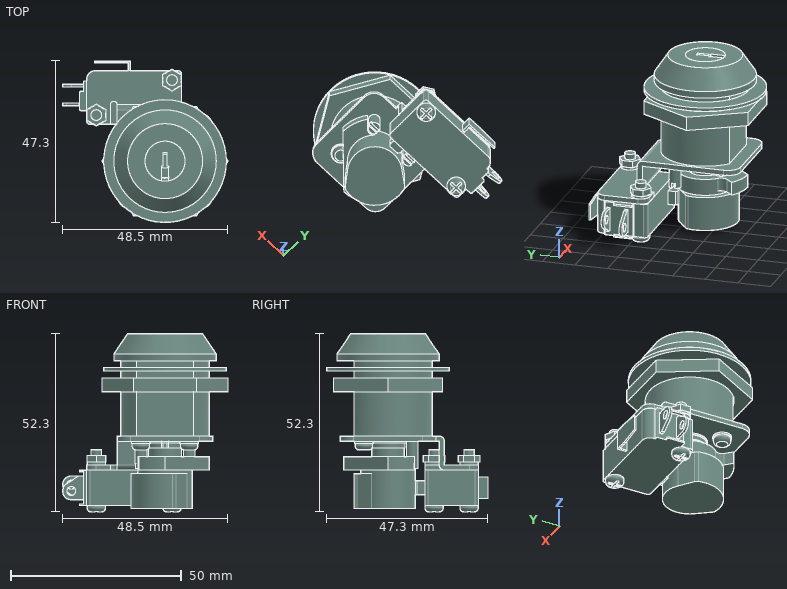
import cadquery as cq
import math


barrel_radius = 13.0
barrel_flat = 10.0
head_bottom = 22.0
rim_height = 2.05
head_top = 30.0
rim_radius = 15.0
face_radius = 11.0
boss_radius = 5.3
boss_bottom = -2.05
housing_floor = 1.55

washer_radius = 18.0
washer_bottom = 19.05
washer_height = 1.05
nut_bottom = 12.9
nut_height = 4.15
nut_across_flats = 32.0

plug_radius = 5.85
tail_radius = 5.0
tail_bottom = -3.55
key_narrow = 1.15
key_narrow_top = 2.5
key_wide = 2.05
key_wide_top = -1.45

lever_angle = 45
lobe_angle = lever_angle + 180
hub_radius = 4.8
hub_hole_radius = 2.05
base_radius = 8.0
lobe_radius = 10.0
lobe_fillet = 1.65
lever_radius = 13.0
lever_inset = 2.0
lever_top = -6.0
lever_bottom = -10.0
drum_top = -11.0
drum_bottom = -21.3

sheet = 1.55
plate_half = 14.0
plate_corner = 4.0
leg_outer = 16.55
relief_width = 2.0
screw_offset = 7.05
screw_washer_radius = 2.75
screw_washer_height = 0.6
plate_head_radius = 2.55
plate_screw_bottom = -4.1
stud_radius = 1.7
stud_bottom = -9.5
stud_slot_width = 1.1
stud_slot_depth = 1.5

case_left = -22.95
case_right = 4.85
case_front = 10.75
case_back = 26.5
case_top = -10.0
case_height = 10.35
case_corner = 1.0
case_big_corner = 2.5
case_bottom = case_top - case_height
case_middle = case_top - case_height / 2

head_radius = 2.7
head_rim = 0.45
case_head_height = 1.95
head_flat_radius = 1.65
recess_width = 0.75
recess_depth = 0.15
bolt_places = [(-20.15, 13.5), (2.05, 23.75)]
bolt_radius = 1.55
bolt_top = -4.0
bolt_nut_top = -5.65
bolt_nut_bottom = -7.65
bolt_nut_flats = 5.55

block_left = -23.95
block_front = 14.75
block_back = 23.55
lip_left = -25.05
lip_back = 20.5
lip_height = 0.45
block_round = 0.45

blade_thickness = 0.9
blade_half_height = 3.5
blade_end_radius = 2.55
blade_hole_radius = 1.25
blade_hole_x = -27.45
blade_slope_x = -25.25
front_blade_y = 16.65
back_blade_y = 22.1

back_tab_right = -10.15
back_tab_left = -20.7
back_tab_taper = -14.55
back_tab_outer = 29.3
back_tab_leg = 0.7
back_tab_thickness = 0.5
back_tab_half = 3.2
back_tab_end_half = 2.4

plunger_width = 4.0
plunger_height = 4.2
plunger_chamfer = 0.5


def disc(radius, bottom, top, place=(0, 0)):
    """Upright cylinder between two heights."""
    return cq.Workplane("XY", origin=(*place, bottom)).circle(radius).extrude(top - bottom)


def block(x0, x1, y0, y1, bottom, top):
    """Box given by its limits on each axis."""
    corner = (x0, y0, bottom)
    return cq.Workplane("XY", origin=corner).box(x1 - x0, y1 - y0, top - bottom, centered=False)


def at_angle(radius, degrees):
    """XY point on a circle about the lock axis."""
    angle = math.radians(degrees)
    return (radius * math.cos(angle), radius * math.sin(angle))


def domed_head(radius, rim, top, bottom, place):
    """Pan head hanging below `top`: a short straight rim, then a dome with a flat end."""
    drop = top - bottom
    dome = drop - rim
    shoulder = math.sqrt(0.5)
    middle = (
        head_flat_radius + (radius - head_flat_radius) * shoulder,
        -rim - dome * shoulder,
    )
    return (
        cq.Workplane("XZ", origin=(*place, top))
        .lineTo(radius, 0)
        .lineTo(radius, -rim)
        .threePointArc(middle, (head_flat_radius, -drop))
        .lineTo(0, -drop)
        .close()
        .revolve(360, (0, 0), (0, 1))
    )


def make_housing():
    barrel = disc(barrel_radius, 0, head_bottom)
    reach = 2 * barrel_radius
    barrel = barrel.cut(block(-reach, reach, -reach, -barrel_flat, 0, head_bottom))
    head = (
        cq.Workplane("XZ")
        .moveTo(0, head_bottom)
        .lineTo(rim_radius, head_bottom)
        .lineTo(rim_radius, head_bottom + rim_height)
        .lineTo(face_radius, head_top)
        .lineTo(0, head_top)
        .close()
        .revolve(360, (0, 0), (0, 1))
    )
    body = barrel.union(head).union(disc(boss_radius, boss_bottom, 0))
    bore = disc(plug_radius, housing_floor, head_top)
    tail_hole = disc(tail_radius, boss_bottom, housing_floor)
    return body.cut(bore).cut(tail_hole)


def make_barrel_envelope():
    """Round bore that the barrel passes through."""
    return disc(barrel_radius, 0, head_bottom)


def make_washer():
    ring = cq.Workplane("XY", origin=(0, 0, washer_bottom)).circle(washer_radius)
    return ring.extrude(washer_height).cut(make_barrel_envelope())


def make_panel_nut():
    corners = nut_across_flats / math.cos(math.radians(30))
    nut = cq.Workplane("XY", origin=(0, 0, nut_bottom)).polygon(6, corners).extrude(nut_height)
    return nut.cut(make_barrel_envelope())


def make_plug():
    plug = disc(plug_radius, housing_floor, head_top)
    plug = plug.union(disc(tail_radius, tail_bottom, housing_floor))
    narrow = block(
        -key_narrow / 2, key_narrow / 2, key_wide_top, key_narrow_top, tail_bottom, head_top
    )
    wide = block(-key_wide / 2, key_wide / 2, -plug_radius, key_wide_top, tail_bottom, head_top)
    return plug.cut(narrow).cut(wide)


def make_lever():
    """Chord-sided bar across the -X-Y to +X+Y diagonal, filleted into the cam's base circle.

    It is drawn with the diagonal as the local X axis, then turned into place.
    """
    height = lever_top - lever_bottom
    chord = lever_radius * math.sqrt(0.5)
    bar_width = chord - lever_inset
    bar_middle = -(chord + lever_inset) / 2
    tip = base_radius + lever_inset
    bar = cq.Workplane("XY").center(0, bar_middle).rect(2 * lever_radius, bar_width).extrude(height)
    bar = bar.intersect(cq.Workplane("XY").circle(lever_radius).extrude(height))
    root = cq.Workplane("XY").center(0, -lever_inset / 2).rect(2 * tip, lever_inset).extrude(height)
    hollows = cq.Workplane("XY").pushPoints([(-tip, 0), (tip, 0)]).circle(lever_inset).extrude(height)
    lever = bar.union(root.cut(hollows))
    return lever.rotate((0, 0, 0), (0, 0, 1), lever_angle).translate((0, 0, lever_bottom))


def make_drum():
    """Cam drum: base circle with a larger lobe centred on the -X-Y diagonal.

    The flanks are tangent to the base circle and end on the lobe circle.
    """
    flank_sweep = math.degrees(math.acos(base_radius / lobe_radius))
    lower_tangent = -flank_sweep
    upper_tangent = 2 * lever_angle + flank_sweep
    upper_corner = at_angle(lobe_radius, upper_tangent + flank_sweep)
    lower_corner = at_angle(lobe_radius, lower_tangent - flank_sweep)
    drum = (
        cq.Workplane("XY", origin=(0, 0, drum_bottom))
        .moveTo(*at_angle(base_radius, lower_tangent))
        .threePointArc(at_angle(base_radius, lever_angle), at_angle(base_radius, upper_tangent))
        .lineTo(*upper_corner)
        .threePointArc(at_angle(lobe_radius, lobe_angle), lower_corner)
        .close()
        .extrude(drum_top - drum_bottom)
    )
    for corner in (upper_corner, lower_corner):
        edge = cq.selectors.NearestToPointSelector((*corner, (drum_top + drum_bottom) / 2))
        drum = drum.edges("|Z").edges(edge).fillet(lobe_fillet)
    return drum


def make_cam():
    hub = disc(hub_radius, lever_top, tail_bottom)
    collar = disc(base_radius, drum_top, lever_top)
    cam = make_drum().union(collar).union(hub).union(make_lever())
    return cam.cut(disc(hub_hole_radius, lever_top, tail_bottom))


def make_bent_strip():
    """Z-shaped strip: top plate, downward leg and the flange on the switch, with outer bends."""
    shoulder = sheet * math.sqrt(0.5)
    leg_inner = leg_outer - sheet
    return (
        cq.Workplane("YZ", origin=(-plate_half, 0, 0))
        .moveTo(0, 0)
        .lineTo(leg_inner, 0)
        .threePointArc((leg_inner + shoulder, shoulder - sheet), (leg_outer, -sheet))
        .lineTo(leg_outer, case_top + sheet)
        .lineTo(leg_outer + sheet, case_top + sheet)
        .lineTo(leg_outer + sheet, case_top)
        .lineTo(leg_outer, case_top)
        .threePointArc(
            (leg_outer - shoulder, case_top + sheet - shoulder), (leg_inner, case_top + sheet)
        )
        .lineTo(leg_inner, -sheet)
        .lineTo(0, -sheet)
        .close()
        .extrude(case_right + plate_half)
    )


def make_flange():
    """Flange on top of the switch, with a tab beside the leg and a relief slot between them."""
    flange = block(case_left, case_right, case_front, case_back, case_top, case_top + sheet)
    flange = flange.edges("|Z").fillet(head_radius)
    slot_left = -plate_half - relief_width
    flange = flange.cut(
        block(slot_left, case_right, case_front, leg_outer, case_top, case_top + sheet)
    )
    slot_end = disc(
        relief_width / 2, case_top, case_top + sheet, (slot_left + relief_width / 2, leg_outer)
    )
    flange = flange.cut(slot_end)
    for place in bolt_places:
        flange = flange.cut(disc(bolt_radius, case_top, case_top + sheet, place))
    return flange


def make_plate_screw(x):
    """Pan head screw and its washer, under the plate."""
    place = (x, -screw_offset)
    washer_end = -sheet - screw_washer_height
    washer = disc(screw_washer_radius, washer_end, -sheet, place)
    return washer.union(domed_head(plate_head_radius, head_rim, washer_end, plate_screw_bottom, place))


def make_stud(x):
    """Stud with a slotted end, under the plate."""
    stud = disc(stud_radius, stud_bottom, -sheet, (x, screw_offset))
    slot = block(
        x - stud_radius, x + stud_radius,
        screw_offset - stud_slot_width / 2, screw_offset + stud_slot_width / 2,
        stud_bottom, stud_bottom + stud_slot_depth,
    )
    return stud.cut(slot)


def make_bracket():
    plate = block(-plate_half, plate_half, -plate_half, plate_half, -sheet, 0)
    plate = plate.edges("|Z").fillet(plate_corner)
    bracket = plate.union(make_bent_strip()).union(make_flange())
    bracket = bracket.cut(disc(boss_radius, -sheet, 0))
    for x in (-screw_offset, screw_offset):
        bracket = bracket.union(make_plate_screw(x)).union(make_stud(x))
    return bracket


def make_case():
    case = block(case_left, case_right, case_front, case_back, case_bottom, case_top)
    big_corner = cq.selectors.NearestToPointSelector((case_left, case_back, case_middle))
    case = case.edges("|Z").edges(big_corner).fillet(case_big_corner)
    for corner in ((case_left, case_front), (case_right, case_front), (case_right, case_back)):
        edge = cq.selectors.NearestToPointSelector((*corner, case_middle))
        case = case.edges("|Z").edges(edge).fillet(case_corner)
    return case


def make_bolt(place):
    """Bolt through the case and the flange, with its head below and its washer and nut above."""
    head = domed_head(head_radius, head_rim, case_bottom, case_bottom - case_head_height, place)
    head_end = case_bottom - case_head_height
    recess = cq.Workplane("XY", origin=(*place, head_end))
    for size in ((recess_width, 2 * head_radius), (2 * head_radius, recess_width)):
        head = head.cut(recess.rect(*size).extrude(recess_depth))
    corners = bolt_nut_flats / math.cos(math.radians(30))
    nut = (
        cq.Workplane("XY", origin=(*place, bolt_nut_bottom))
        .transformed(rotate=(0, 0, 30))
        .polygon(6, corners)
        .extrude(bolt_nut_top - bolt_nut_bottom)
    )
    shank = disc(bolt_radius, case_bottom, bolt_top, place)
    washer = disc(head_radius, case_top + sheet, bolt_nut_bottom, place)
    return shank.union(head).union(washer).union(nut)


def make_terminal_block():
    """Raised block on the case's end, with a lip along its top and its bottom."""
    body = block(block_left, case_left, block_front, block_back, case_bottom, case_top)
    body = body.edges("|Z and <X and >Y").fillet(block_round)
    for bottom in (case_bottom, case_top - lip_height):
        lip = block(lip_left, case_left, block_front, lip_back, bottom, bottom + lip_height)
        body = body.union(lip.edges("|Z and <X").fillet(block_round))
    return body


def make_blade(y, side):
    """Terminal blade with a round end; its hole lies toward `side` (+1 up, -1 down)."""
    hole_z = blade_half_height - blade_end_radius
    slope_x = blade_slope_x - blade_hole_x
    slope_z = -blade_half_height - hole_z
    tangent_angle = (
        math.atan2(slope_z, slope_x)
        - math.acos(blade_end_radius / math.hypot(slope_x, slope_z))
    )
    middle_angle = (math.pi / 2 + tangent_angle + 2 * math.pi) / 2

    def end_point(angle):
        return (
            blade_hole_x + blade_end_radius * math.cos(angle),
            case_middle + side * (hole_z + blade_end_radius * math.sin(angle)),
        )

    blade = (
        cq.Workplane("XZ", origin=(0, y + blade_thickness / 2, 0))
        .moveTo(block_left, case_middle + side * blade_half_height)
        .lineTo(*end_point(math.pi / 2))
        .threePointArc(end_point(middle_angle), end_point(tangent_angle))
        .lineTo(blade_slope_x, case_middle - side * blade_half_height)
        .lineTo(block_left, case_middle - side * blade_half_height)
        .close()
        .extrude(blade_thickness)
    )
    hole = (
        cq.Workplane("XZ", origin=(0, y + blade_thickness / 2, 0))
        .center(blade_hole_x, case_middle + side * hole_z)
        .circle(blade_hole_radius)
        .extrude(blade_thickness)
    )
    return blade.cut(hole)


def make_back_tab():
    """L-shaped tab behind the case, narrowing toward its free end."""
    leg = block(
        back_tab_right - back_tab_leg, back_tab_right, case_back, back_tab_outer,
        case_middle - back_tab_half, case_middle + back_tab_half,
    )
    strip = (
        cq.Workplane("XZ", origin=(0, back_tab_outer, case_middle))
        .moveTo(back_tab_right, back_tab_half)
        .lineTo(back_tab_taper, back_tab_half)
        .lineTo(back_tab_left, back_tab_end_half)
        .lineTo(back_tab_left, -back_tab_end_half)
        .lineTo(back_tab_taper, -back_tab_half)
        .lineTo(back_tab_right, -back_tab_half)
        .close()
        .extrude(back_tab_thickness)
    )
    return leg.union(strip)


def make_plunger():
    """Plunger that reaches from the case to the cam's base circle."""
    plunger = block(
        -plunger_width / 2, plunger_width / 2, base_radius, case_front,
        case_middle - plunger_height / 2, case_middle + plunger_height / 2,
    )
    return plunger.edges("|Z and <Y").chamfer(plunger_chamfer)


def make_switch():
    switch = make_case().union(make_terminal_block()).union(make_back_tab()).union(make_plunger())
    switch = switch.union(make_blade(back_blade_y, 1)).union(make_blade(front_blade_y, -1))
    for place in bolt_places:
        switch = switch.union(make_bolt(place))
    return switch


housing = make_housing()
washer = make_washer()
panel_nut = make_panel_nut()
plug = make_plug()
cam = make_cam()
bracket = make_bracket()
switch = make_switch()

result = cq.Compound.makeCompound(
    [
        housing.val(),
        washer.val(),
        panel_nut.val(),
        plug.val(),
        cam.val(),
        bracket.val(),
        switch.val(),
    ]
)